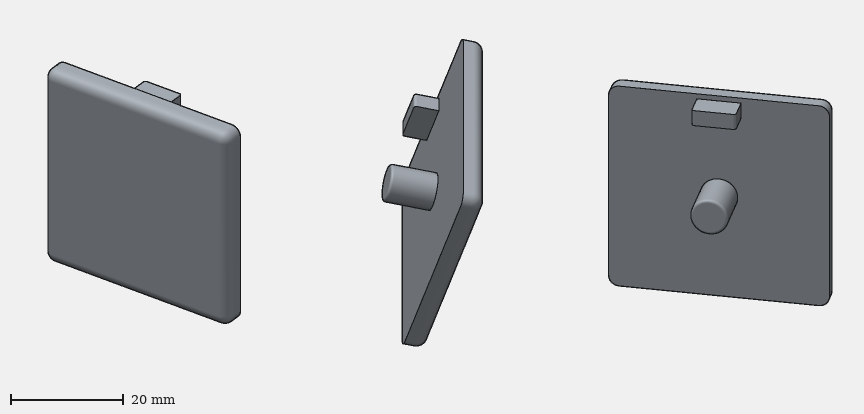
import cadquery as cq

plate_side = 40.0
plate_thickness = 4.0
plate_edge_radius = 2.0

pin_diameter = 6.8
pin_length = 8.5
pin_edge_radius = 0.5

tab_width = 8.0
tab_length = 4.5
tab_height = 3.0
tab_top_margin = 1.0
tab_corner_radius = 0.5

root_overlap = 1.0


def make_plate():
    """Plate from y = 0 to y = plate_thickness, rounded at the corners and front rim."""
    plate = cq.Workplane("XY").box(
        plate_side, plate_thickness, plate_side, centered=(True, False, True)
    )
    plate = plate.edges("|Y").fillet(plate_edge_radius)
    return plate.faces("<Y").edges().fillet(plate_edge_radius)


def make_pin():
    """Pin along +Y with a rounded free end."""
    root_y = plate_thickness - root_overlap
    pin = (
        cq.Workplane("XZ", origin=(0, root_y, 0))
        .circle(pin_diameter / 2)
        .extrude(-(pin_length + root_overlap))
    )
    return pin.faces(">Y").edges().fillet(pin_edge_radius)


def make_tab():
    """Tab along +Y with its two free upright edges rounded."""
    root_y = plate_thickness - root_overlap
    tab_bottom = plate_side / 2 - tab_top_margin - tab_height
    tab = cq.Workplane("XY").box(
        tab_width, tab_length + root_overlap, tab_height, centered=(True, False, False)
    )
    tab = tab.faces(">Y").edges("|Z").fillet(tab_corner_radius)
    return tab.translate((0, root_y, tab_bottom))


result = make_plate().union(make_pin()).union(make_tab())